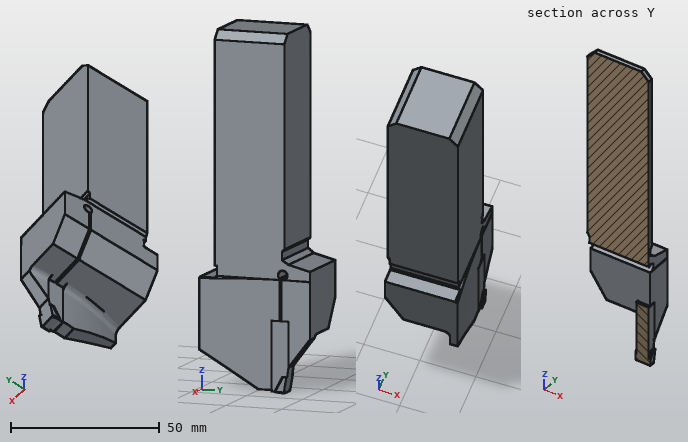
import cadquery as cq
import math


height = 122.1
shank_width = 25.0
shank_front = 4.9
shank_back = shank_front + shank_width
top_chamfer = 3.0
side_relief = 0.7
side_relief_top = 45.4
side_relief_end = 44.1
back_relief = 0.9
back_relief_top = 49.1
back_relief_end = 45.4

head_depth = 39.1
head_bottom = 19.8
head_chamfer_width = 6.6
head_chamfer_top = 29.4
ledge_height = 38.1
side_ledge_height = 37.9
side_ledge_bevel = 1.1
notch_bevel = 0.5
notch_top = 42.0
notch_back = 5.7
back_shoulder = 42.0
back_shoulder_crest = 44.0
back_shoulder_crest_y = 31.4

blade_left = 19.9
left_radius = 91.6
left_crest_y = 26.9
blade_right = 25.0
right_radius = 274.7
right_crest_y = 30.5
blade_front_bottom = 13.4
blade_tip = 0.9
blade_tip_front_y = 20.6
jaw_back_z = 18.8
jaw_tip_z = 8.9
root_fillet = 2.2

insert_front = 25.3
insert_back = 31.4
insert_top = 24.5
insert_bottom = 0.4
cutting_edge_y = 29.9
insert_neck_z = 5.6
insert_neck_y = 30.9
edge_left = 19.5
edge_right = 25.8
edge_corner = 0.5
edge_heel_y = 26.6
edge_mid_y = 29.4
slot_width = 0.7
slot_y = 28.5
relief_hole_diameter = 3.3
relief_hole_y = 29.3
relief_hole_z = 40.2

margin = 2.5
outer_x = 36.6


def flank_x(crest_x, crest_y, radius, y):
    """X of an arc flank at depth y; the flank is lowest in X at its crest."""
    return crest_x + radius - math.sqrt(radius**2 - (y - crest_y) ** 2)


def left_flank(y):
    return flank_x(blade_left, left_crest_y, left_radius, y)


def right_flank(y):
    return flank_x(blade_right, right_crest_y, right_radius, y)


def side_prism(points, x_start, x_end):
    """Extrude a (Y, Z) outline along X."""
    return cq.Workplane("YZ").workplane(offset=x_start).polyline(points).close().extrude(x_end - x_start)


def box(x_range, y_range, z_range):
    """Box between the given limits."""
    size = [limits[1] - limits[0] for limits in (x_range, y_range, z_range)]
    corner = (x_range[0], y_range[0], z_range[0])
    return cq.Workplane("XY").box(*size, centered=False).translate(corner)


def make_plan(left_is_curved):
    """Plan of the head, or of the blade alone when its left flank is curved too."""
    middle = head_depth / 2
    plan = cq.Workplane("XY").moveTo(right_flank(0), 0)
    plan = plan.threePointArc((right_flank(middle), middle), (right_flank(head_depth), head_depth))
    if left_is_curved:
        plan = plan.lineTo(left_flank(head_depth), head_depth)
        plan = plan.threePointArc((left_flank(middle), middle), (left_flank(0), 0))
    else:
        plan = plan.lineTo(-margin, head_depth).lineTo(-margin, 0)
    return plan.close()


def make_shank_and_head():
    front_outline = [
        (top_chamfer, height),
        (0, height - top_chamfer),
        (0, side_relief_top),
        (side_relief, side_relief_end),
        (side_relief, head_chamfer_top),
        (side_relief + head_chamfer_width, head_bottom),
        (outer_x, head_bottom),
        (outer_x, side_ledge_height),
        (shank_width + side_ledge_bevel, side_ledge_height),
        (shank_width, ledge_height + notch_bevel),
        (shank_width, height - top_chamfer),
        (shank_width - top_chamfer, height),
    ]
    side_outline = [
        (shank_front, height),
        (shank_front, notch_top),
        (notch_back, notch_top),
        (notch_back, ledge_height + notch_bevel),
        (notch_back - notch_bevel, ledge_height),
        (0, ledge_height),
        (0, 0),
        (head_depth, 0),
        (head_depth, back_shoulder),
        (back_shoulder_crest_y, back_shoulder_crest),
        (shank_back - back_relief, back_relief_end),
        (shank_back - back_relief, back_relief_top - back_relief),
        (shank_back, back_relief_top),
        (shank_back, height),
    ]
    front_prism = cq.Workplane("XZ").polyline(front_outline).close().extrude(-head_depth)
    body = front_prism.intersect(side_prism(side_outline, -margin, outer_x))
    return body.intersect(make_plan(False).extrude(height))


def make_blade_limits():
    """Side outline that trims the blade, reaching above the head."""
    outline = [
        (0, height),
        (0, blade_front_bottom),
        (blade_tip_front_y, blade_tip),
        (insert_back, blade_tip),
        (insert_back, jaw_tip_z),
        (head_depth, jaw_back_z),
        (head_depth, height),
    ]
    return side_prism(outline, -margin, outer_x)


def make_insert():
    outline = [
        (insert_front, insert_top),
        (insert_front, insert_bottom),
        (cutting_edge_y, insert_bottom),
        (insert_neck_y, insert_neck_z),
        (insert_back, jaw_tip_z),
        (insert_back, insert_top),
    ]
    cutting_end = [
        (edge_heel_y, insert_bottom),
        (cutting_edge_y, 0),
        (insert_neck_y, insert_neck_z),
        (edge_mid_y, insert_neck_z),
    ]
    shaft = side_prism(outline, blade_left, blade_right)
    insert = shaft.union(side_prism(cutting_end, edge_left, edge_right))
    for edge_x, inward in ((edge_left, 1), (edge_right, -1)):
        corner = [(edge_x, 0), (edge_x + inward * edge_corner, 0), (edge_x, edge_corner)]
        insert = insert.cut(cq.Workplane("XZ").polyline(corner).close().extrude(-head_depth))
    return insert


def make_holder():
    blade = make_plan(True).extrude(head_bottom + margin)
    holder = make_shank_and_head().union(blade)
    root = cq.selectors.BoxSelector(
        (blade_left - margin, -margin, head_bottom - root_fillet),
        (left_flank(0) - root_fillet, head_depth + margin, head_bottom + root_fillet),
    )
    holder = holder.edges(root).edges("%CIRCLE").fillet(root_fillet)
    holder = holder.intersect(make_blade_limits())

    insert_y = (insert_front, insert_back)
    holder = holder.cut(box((blade_left, outer_x), insert_y, (0, insert_top)))
    holder = holder.cut(box((blade_left - root_fillet, blade_left), insert_y, (0, head_bottom)))

    slot_range = (slot_y - slot_width / 2, slot_y + slot_width / 2)
    holder = holder.cut(box((-margin, outer_x), slot_range, (0, relief_hole_z)))
    hole = cq.Workplane("YZ").center(relief_hole_y, relief_hole_z).circle(relief_hole_diameter / 2)
    return holder.cut(hole.extrude(outer_x))


holder = make_holder()
insert = make_insert()

result = cq.Compound.makeCompound([holder.val(), insert.val()])